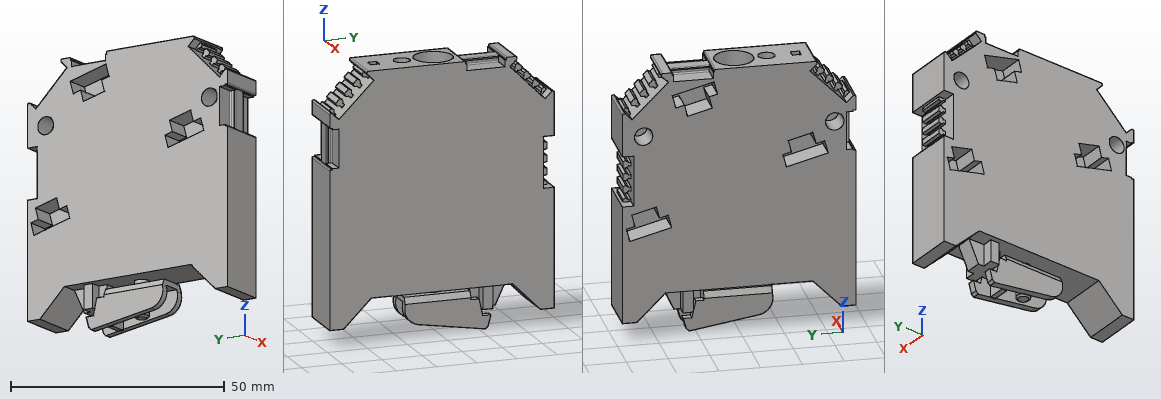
import cadquery as cq
import math

WIDTH = 12.2
LENGTH = 56.0
HEIGHT = 66.4
HALF_WIDTH = WIDTH / 2
END = LENGTH / 2

FOOT_Z = 4.05
FOOT_LENGTH = 3.45
NOTCH_HEIGHT = 6.9
BASE_Z = FOOT_Z + NOTCH_HEIGHT
SLOPE_TOP_Y = 17.0
SLOPE_TOP_Z = 64.1
SLOPE_RUN = 8.7
LIP_RUN = 1.65
LIP_ROUND = 0.3

TEETH_HALF_WIDTH = 3.1
TEETH_GAPS = 4
NECK_HALF, NECK_HEIGHT = 0.45, 0.6
BULGE_HALF, BULGE_HEIGHT = 1.0, 1.25
CROWN_HALF, CROWN_HEIGHT = 0.7, 2.0

WINDOW_LOW_Z = 33.5
WINDOW_HIGH_Z = 46.15
WINDOW_DEPTH = 2.7

HOLDER_LENGTH = 10.1
HOLDER_DEPTH = 0.65
HOLDER_ROUND = 0.25
POCKET_LENGTH = 9.5
POCKET_DEPTH = 2.25
RAIL_CROWN_HALF = 1.4
RAIL_HEAD_HALF = 1.9
RAIL_BEVEL_HEIGHT = 0.1
RAIL_UNDERCUT = 0.5
RAIL_FOOT_ROUND = 0.3
TOP_HOLDER_Y = 10.95
FRONT_HOLDER_Z = 48.3

SIDE_DEPTH = HALF_WIDTH
SIDE_HOLE_DIAMETER = 4.4
SIDE_HOLE_Y = 22.9
SIDE_HOLE_Z = 50.85
TOP_HOLE_DEPTH = 9.95
LARGE_HOLE_DIAMETER = 9.4
SMALL_HOLE_DIAMETER = 4.0
SMALL_HOLE_Y = -7.85
SQUARE_HOLE_SIDE = 2.1
SQUARE_HOLE_Y = -14.9

T_TILT = 15.0
T_BAR_LENGTH, T_BAR_HEIGHT = 10.35, 3.25
T_STEM_WIDTH, T_STEM_HEIGHT = 6.1, 3.0
T_RECESSES = [(11.0, 61.95, True), (-16.35, 41.7, False), (21.2, 26.0, False)]

JAW_BOTTOM_Z = 5.0
JAW_REAR_Y = 17.5
JAW_TIP_Y = 14.75
JAW_FRONT_Y = 8.35
JAW_HALF_WIDTH = 2.0
JAW_RIB_FRONT_Y, JAW_RIB_REAR_Y = 10.7, 13.15
JAW_RIB_HALF_WIDTH = 4.7

CLIP_HALF_WIDTH = 4.05
CLIP_WALL = 1.8
CLIP_TOP_Z = 9.5
CLIP_FRONT_Y = -8.4
CLIP_REAR_Y = 8.0
CLIP_BEVEL_HEIGHT = 1.5
CLIP_BEVEL_WIDTH = 0.8
CLIP_WEB = 1.3
CLIP_WEB_BOTTOM_Z = 0.5
CLIP_LEDGE_Z = 7.5
CLIP_NOSE_Z = 7.7
CLIP_NOSE_MIDDLE = (-7.9, 4.5)
CLIP_NOSE_END = (-5.3, 2.7)
CLIP_HOOK = [(11.55, 0), (12.2, 0.65), (12.95, 3.3), (10.9, 3.3), (9.95, CLIP_LEDGE_Z), (CLIP_REAR_Y, CLIP_LEDGE_Z)]

SCREW_DIAMETER = 3.5
SCREW_TIP_Z = 1.9
SCREW_CHAMFER = 0.45


def side_prism(points, x_min, x_max):
    """Prism along X from a closed list of (y, z) points."""
    return cq.Workplane("YZ").workplane(offset=x_min).polyline(points).close().extrude(x_max - x_min)


def box(x_range, y_range, z_range):
    """Box from its lower and upper limits on each axis."""
    sizes = [high - low for low, high in (x_range, y_range, z_range)]
    corner = (x_range[0], y_range[0], z_range[0])
    return cq.Workplane("XY").box(*sizes, centered=False).translate(corner)


def round_edges(body, points, radius):
    """Round the edges along X that pass nearest the given (y, z) points."""
    for y, z in points:
        body = body.edges("|X").edges(cq.NearestToPointSelector((0, y, z))).fillet(radius)
    return body


def housing_blank():
    slope_low_y = SLOPE_TOP_Y + SLOPE_RUN
    slope_low_z = SLOPE_TOP_Z - SLOPE_RUN
    lip_end_y = SLOPE_TOP_Y + LIP_RUN
    lip_end_z = slope_low_z + LIP_RUN
    foot_y = END - FOOT_LENGTH
    rear = [
        (foot_y - NOTCH_HEIGHT, BASE_Z),
        (foot_y, FOOT_Z),
        (END, FOOT_Z),
        (END, lip_end_z),
        (slope_low_y + LIP_RUN, lip_end_z),
        (slope_low_y, slope_low_z),
        (SLOPE_TOP_Y, SLOPE_TOP_Z),
        (lip_end_y, SLOPE_TOP_Z + LIP_RUN),
        (lip_end_y, HEIGHT),
    ]
    front = [(-y, z) for y, z in reversed(rear)]
    blank = side_prism(rear + front, -HALF_WIDTH, HALF_WIDTH)
    lip_corners = [(side * y, z) for side in (1, -1) for y, z in ((lip_end_y, HEIGHT), (END, lip_end_z))]
    return round_edges(blank, lip_corners, LIP_ROUND)


def tooth_row(length, y, z, outward_angle):
    """Row of teeth on a wall centred at (y, z) whose outward normal has this angle from +Y."""
    angle = math.radians(outward_angle)
    plane = cq.Plane(
        origin=(-TEETH_HALF_WIDTH, y, z),
        xDir=(0, math.sin(angle), -math.cos(angle)),
        normal=(1, 0, 0),
    )
    side = [
        (NECK_HALF, 0),
        (NECK_HALF, NECK_HEIGHT),
        (BULGE_HALF, BULGE_HEIGHT),
        (CROWN_HALF, CROWN_HEIGHT),
    ]
    outline = side + [(-along, out) for along, out in reversed(side)]
    pitch = length / TEETH_GAPS
    tooth_places = [(pitch * (i - TEETH_GAPS / 2), 0) for i in range(TEETH_GAPS + 1)]
    width = 2 * TEETH_HALF_WIDTH
    span = cq.Workplane(plane).rect(length, 2 * CROWN_HEIGHT).extrude(width)
    row = cq.Workplane(plane)
    for along, out in tooth_places:
        points = [(along + u, out + v) for u, v in outline]
        row = row.add(cq.Workplane(plane).polyline(points).close().extrude(width))
    return row.combine().intersect(span)


def shoulder_teeth(side):
    """Teeth on the rear (side = 1) or front (side = -1) shoulder."""
    middle_y = side * (SLOPE_TOP_Y + SLOPE_RUN / 2)
    middle_z = SLOPE_TOP_Z - SLOPE_RUN / 2
    return tooth_row(SLOPE_RUN * math.sqrt(2), middle_y, middle_z, 90 - 45 * side)


def rear_window():
    return box((-HALF_WIDTH, HALF_WIDTH), (END - WINDOW_DEPTH, END), (WINDOW_LOW_Z, WINDOW_HIGH_Z))


def rear_teeth():
    length = WINDOW_HIGH_Z - WINDOW_LOW_Z
    return tooth_row(length, END - WINDOW_DEPTH, WINDOW_LOW_Z + length / 2, 0)


def label_pockets(plane):
    """The two pockets either side of the rail; the plane's y axis points out of the housing."""
    head_depth = HOLDER_DEPTH + RAIL_BEVEL_HEIGHT
    neck_half = RAIL_HEAD_HALF - RAIL_UNDERCUT
    pocket = (
        cq.Workplane(plane)
        .moveTo(RAIL_CROWN_HALF, 0)
        .lineTo(RAIL_CROWN_HALF, -HOLDER_DEPTH)
        .lineTo(RAIL_HEAD_HALF, -head_depth)
        .lineTo(neck_half, -head_depth - RAIL_UNDERCUT)
        .lineTo(neck_half, RAIL_FOOT_ROUND - POCKET_DEPTH)
        .radiusArc((neck_half + RAIL_FOOT_ROUND, -POCKET_DEPTH), -RAIL_FOOT_ROUND)
        .lineTo(HALF_WIDTH, -POCKET_DEPTH)
        .lineTo(HALF_WIDTH, 0)
        .close()
        .extrude(POCKET_LENGTH / 2, both=True)
    )
    return pocket.union(pocket.mirror("YZ"))


def add_label_holders(body):
    half = HOLDER_LENGTH / 2
    x_range = (-HALF_WIDTH, HALF_WIDTH)
    top_ends = (TOP_HOLDER_Y - half, TOP_HOLDER_Y + half)
    front_ends = (FRONT_HOLDER_Z - half, FRONT_HOLDER_Z + half)
    body = body.cut(box(x_range, top_ends, (HEIGHT - HOLDER_DEPTH, HEIGHT)))
    body = body.cut(box(x_range, (-END, HOLDER_DEPTH - END), front_ends))
    rims = [(y, HEIGHT) for y in top_ends] + [(-END, z) for z in front_ends]
    body = round_edges(body, rims, HOLDER_ROUND)
    top_plane = cq.Plane(origin=(0, TOP_HOLDER_Y, HEIGHT), xDir=(1, 0, 0), normal=(0, -1, 0))
    front_plane = cq.Plane(origin=(0, -END, FRONT_HOLDER_Z), xDir=(1, 0, 0), normal=(0, 0, -1))
    return body.cut(label_pockets(top_plane)).cut(label_pockets(front_plane))


def side_holes():
    places = [(side * SIDE_HOLE_Y, SIDE_HOLE_Z) for side in (1, -1)]
    start = cq.Workplane("YZ").workplane(offset=-HALF_WIDTH)
    return start.pushPoints(places).circle(SIDE_HOLE_DIAMETER / 2).extrude(SIDE_DEPTH)


def top_holes():
    start = cq.Workplane("XY").workplane(offset=HEIGHT - TOP_HOLE_DEPTH)
    large = start.circle(LARGE_HOLE_DIAMETER / 2).extrude(TOP_HOLE_DEPTH)
    small = start.center(0, SMALL_HOLE_Y).circle(SMALL_HOLE_DIAMETER / 2).extrude(TOP_HOLE_DEPTH)
    square = start.center(0, SQUARE_HOLE_Y).rect(SQUARE_HOLE_SIDE, SQUARE_HOLE_SIDE).extrude(TOP_HOLE_DEPTH)
    return large.union(small).union(square)


def t_recess(y, z, stem_down):
    half_bar = T_BAR_LENGTH / 2
    half_stem = T_STEM_WIDTH / 2
    full_height = T_BAR_HEIGHT + T_STEM_HEIGHT
    outline = [
        (-half_bar, 0),
        (half_bar, 0),
        (half_bar, T_BAR_HEIGHT),
        (half_stem, T_BAR_HEIGHT),
        (half_stem, full_height),
        (-half_stem, full_height),
        (-half_stem, T_BAR_HEIGHT),
        (-half_bar, T_BAR_HEIGHT),
    ]
    turn = 180 - T_TILT if stem_down else -T_TILT
    recess = side_prism(outline, -HALF_WIDTH, SIDE_DEPTH - HALF_WIDTH)
    return recess.rotate((0, 0, 0), (1, 0, 0), turn).translate((0, y, z))


def fixed_jaw():
    outline = [
        (JAW_REAR_Y, BASE_Z),
        (JAW_TIP_Y, JAW_BOTTOM_Z),
        (JAW_FRONT_Y, JAW_BOTTOM_Z),
        (JAW_FRONT_Y, BASE_Z),
    ]
    jaw = side_prism(outline, -JAW_HALF_WIDTH, JAW_HALF_WIDTH)
    rib_x = (-JAW_RIB_HALF_WIDTH, JAW_RIB_HALF_WIDTH)
    return jaw.union(box(rib_x, (JAW_RIB_FRONT_Y, JAW_RIB_REAR_Y), (JAW_BOTTOM_Z, BASE_Z)))


def make_housing():
    body = add_label_holders(housing_blank())
    body = body.cut(rear_window()).cut(side_holes()).cut(top_holes())
    for y, z, stem_down in T_RECESSES:
        body = body.cut(t_recess(y, z, stem_down))
    body = body.union(shoulder_teeth(1)).union(shoulder_teeth(-1)).union(rear_teeth())
    return body.union(fixed_jaw())


def make_clip():
    """Channel with two hooked side plates, a top plate and a cross web, drilled for the screw."""
    plates = (
        cq.Workplane("YZ")
        .workplane(offset=-CLIP_HALF_WIDTH)
        .moveTo(CLIP_REAR_Y, CLIP_TOP_Z)
        .lineTo(CLIP_FRONT_Y, CLIP_TOP_Z)
        .lineTo(CLIP_FRONT_Y, CLIP_NOSE_Z)
        .threePointArc(CLIP_NOSE_MIDDLE, CLIP_NOSE_END)
        .polyline(CLIP_HOOK, includeCurrent=True)
        .close()
        .extrude(2 * CLIP_HALF_WIDTH)
    )
    plates = plates.faces(">Z").edges("|Y").chamfer(CLIP_BEVEL_WIDTH, CLIP_BEVEL_HEIGHT)
    inner_half = CLIP_HALF_WIDTH - CLIP_WALL
    inner_x = (-inner_half, inner_half)
    gap = box(inner_x, (-END, END), (0, CLIP_TOP_Z - CLIP_WEB))
    web = box(inner_x, (CLIP_REAR_Y - CLIP_WEB, CLIP_REAR_Y), (CLIP_WEB_BOTTOM_Z, CLIP_TOP_Z - CLIP_WEB))
    screw_hole = cq.Workplane("XY").circle(SCREW_DIAMETER / 2).extrude(CLIP_TOP_Z)
    return plates.cut(gap).union(web).cut(screw_hole)


def make_screw():
    shank = cq.Workplane("XY").workplane(offset=SCREW_TIP_Z).circle(SCREW_DIAMETER / 2)
    return shank.extrude(BASE_Z - SCREW_TIP_Z).faces("<Z").chamfer(SCREW_CHAMFER)


housing = make_housing()
clip = make_clip()
screw = make_screw()
result = cq.Compound.makeCompound([housing.val(), clip.val(), screw.val()])